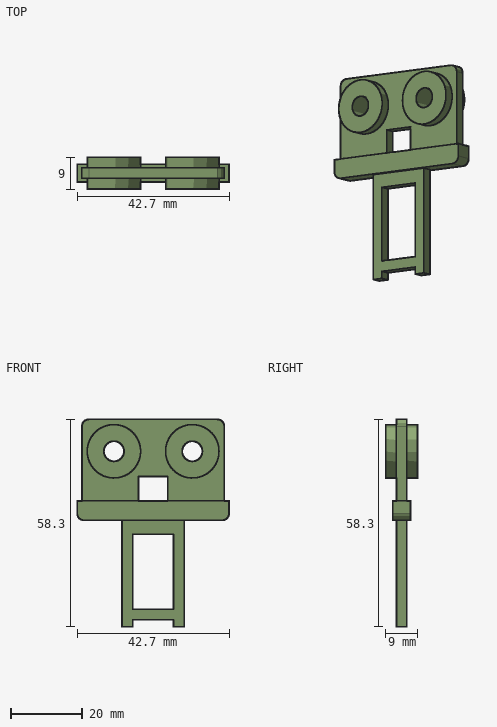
import cadquery as cq

total_height = 58.3
tongue_length = 29.9
bar_height = 5.5
bar_top = tongue_length + bar_height

plate_thickness = 3.0
plate_width = 40.0
plate_corner_radius = 2.0
tongue_width = 17.5

bar_length = 42.7
bar_thickness = 5.1
bar_corner_radius = 2.0

boss_diameter = 15.0
boss_length = 9.0
boss_spacing = 22.0
boss_hole_diameter = 5.6
boss_drop = 9.0
boss_z = total_height - boss_drop

notch_width = 8.1
notch_height = 6.8
window_width = 11.4
window_height = 21.0
tip_notch_depth = 2.0
tip_rail_height = 3.0
window_bottom = tip_notch_depth + tip_rail_height


def block(width, thickness, bottom, height):
    """Box centred on X and Y, standing on the level Z = bottom."""
    return (
        cq.Workplane("XY", origin=(0, 0, bottom))
        .box(width, thickness, height, centered=(True, True, False))
    )


def boss_cylinders(diameter):
    """A pair of cylinders along Y at the boss centres."""
    return (
        cq.Workplane("XZ", origin=(0, 0, boss_z))
        .pushPoints([(-boss_spacing / 2, 0), (boss_spacing / 2, 0)])
        .circle(diameter / 2)
        .extrude(boss_length / 2, both=True)
    )


def make_plate():
    """Upper plate with rounded top corners and a notch above the bar."""
    plate = block(plate_width, plate_thickness, bar_top, total_height - bar_top)
    plate = plate.edges("|Y and >Z").fillet(plate_corner_radius)
    return plate.cut(block(notch_width, plate_thickness, bar_top, notch_height))


def make_bar():
    """Thicker cross bar with rounded lower corners."""
    bar = block(bar_length, bar_thickness, tongue_length, bar_height)
    return bar.edges("|Y and <Z").fillet(bar_corner_radius)


def make_tongue():
    """Lower tongue with a rectangular window and a notched tip."""
    tongue = block(tongue_width, plate_thickness, 0, tongue_length)
    tongue = tongue.cut(block(window_width, plate_thickness, window_bottom, window_height))
    return tongue.cut(block(window_width, plate_thickness, 0, tip_notch_depth))


result = (
    make_plate()
    .union(make_bar())
    .union(make_tongue())
    .union(boss_cylinders(boss_diameter))
    .cut(boss_cylinders(boss_hole_diameter))
)